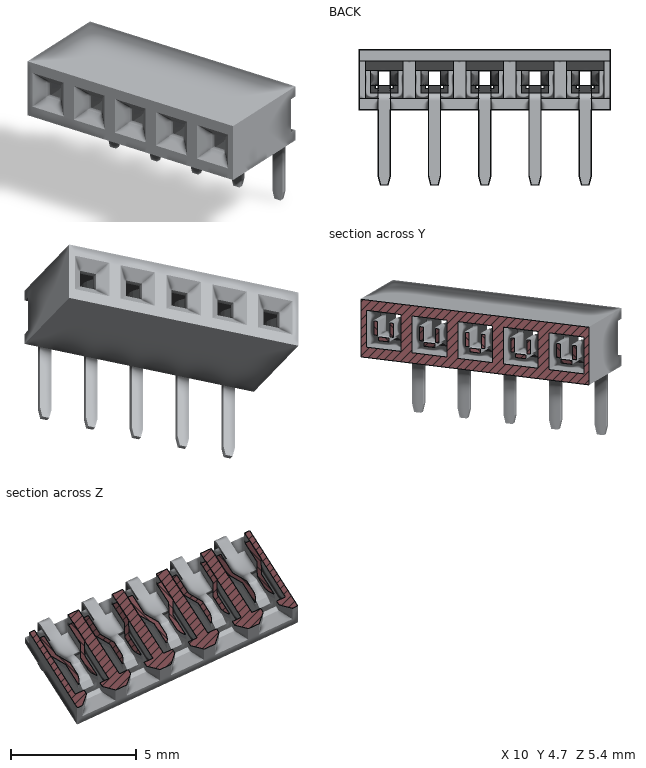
import cadquery as cq

ROW_LENGTH = 10.0
HOUSING_DEPTH = 4.32
HOUSING_HEIGHT = 2.4
MID_HEIGHT = HOUSING_HEIGHT / 2

CONTACT_COUNT = 5
PITCH = 2.0

CHANNEL_DEPTH = 0.3
LIP_HEIGHT = 0.45
CHANNEL_HEIGHT = HOUSING_HEIGHT - 2 * LIP_HEIGHT
CAVITY_END = HOUSING_DEPTH - CHANNEL_DEPTH

CAVITY_WIDTH = CHANNEL_HEIGHT
CAVITY_HALF = CAVITY_WIDTH / 2
MOUTH_WIDTH = 1.5
THROAT_WIDTH = 0.7
FUNNEL_DEPTH = (MOUTH_WIDTH - THROAT_WIDTH) / 2
THROAT_LENGTH = 0.22
CAVITY_START = FUNNEL_DEPTH + THROAT_LENGTH

SHEET = 0.21
TAIL_WIDTH = 0.49
BEND_RADIUS = 0.3
TAIL_BACK = 4.7
TAIL_BOTTOM = -3.0
TIP_WIDTH = 0.3
TIP_LENGTH = 0.37

SADDLE_START = 2.6
SADDLE_END = 3.6

ARM_TIP = 0.89
ARM_BEVEL = 1.14
ARM_APEX = 1.34
ARM_STRAIGHT_END = 2.0
BEVEL_GAP = 0.29
ARM_GAP = 0.23
SIDE_ARM_BOTTOM = MID_HEIGHT - ARM_GAP
SIDE_ARM_HEIGHT = 0.6


def make_socket(x):
    """Solid to remove from the housing for the socket centred on x."""
    funnel = (
        cq.Workplane("XZ", origin=(x, 0, MID_HEIGHT))
        .rect(MOUTH_WIDTH, MOUTH_WIDTH)
        .workplane(offset=-FUNNEL_DEPTH)
        .rect(THROAT_WIDTH, THROAT_WIDTH)
        .loft(ruled=True)
    )
    throat = (
        cq.Workplane("XZ", origin=(x, FUNNEL_DEPTH, MID_HEIGHT))
        .rect(THROAT_WIDTH, THROAT_WIDTH)
        .extrude(-THROAT_LENGTH)
    )
    cavity = (
        cq.Workplane("XZ", origin=(x, CAVITY_START, MID_HEIGHT))
        .rect(CAVITY_WIDTH, CAVITY_WIDTH)
        .extrude(CAVITY_START - CAVITY_END)
    )
    return funnel.union(throat).union(cavity)


def make_housing(contact_places):
    block = cq.Workplane("XY").box(ROW_LENGTH, HOUSING_DEPTH, HOUSING_HEIGHT, centered=(True, False, False))
    channel = (
        cq.Workplane("XY", origin=(0, CAVITY_END, LIP_HEIGHT))
        .box(ROW_LENGTH, CHANNEL_DEPTH, CHANNEL_HEIGHT, centered=(True, False, False))
    )
    housing = block.cut(channel)
    for x in contact_places:
        housing = housing.cut(make_socket(x))
    return housing


def arm_outline(workplane):
    """Arm profile on a workplane whose first axis is Y and whose second is the distance from the socket axis."""
    return workplane.polyline([
        (SADDLE_START, CAVITY_HALF),
        (ARM_STRAIGHT_END, ARM_GAP + SHEET),
        (ARM_TIP, ARM_GAP + SHEET),
        (ARM_BEVEL, BEVEL_GAP),
        (ARM_APEX, ARM_GAP),
        (ARM_STRAIGHT_END, ARM_GAP),
        (SADDLE_START, CAVITY_HALF - SHEET),
    ]).close()


def make_floor_arm():
    downward = cq.Plane(origin=(0, 0, MID_HEIGHT), xDir=(0, 1, 0), normal=(-1, 0, 0))
    return arm_outline(cq.Workplane(downward)).extrude(TAIL_WIDTH / 2, both=True)


def make_side_arm():
    """Arm on the +X side."""
    sideways = cq.Plane(origin=(0, 0, SIDE_ARM_BOTTOM), xDir=(0, 1, 0), normal=(0, 0, -1))
    return arm_outline(cq.Workplane(sideways)).extrude(-SIDE_ARM_HEIGHT)


def make_saddle():
    length = SADDLE_END - SADDLE_START
    height = SIDE_ARM_BOTTOM + SIDE_ARM_HEIGHT - LIP_HEIGHT
    block = (
        cq.Workplane("XY", origin=(0, SADDLE_START, LIP_HEIGHT))
        .box(CAVITY_WIDTH, length, height, centered=(True, False, False))
    )
    trough = (
        cq.Workplane("XY", origin=(0, SADDLE_START, LIP_HEIGHT + SHEET))
        .box(CAVITY_WIDTH - 2 * SHEET, length, height, centered=(True, False, False))
    )
    return block.cut(trough)


def make_tail():
    """Strip that leaves the saddle rearward, bends down and ends in a tapered tip."""
    strip = (
        cq.Workplane("YZ")
        .moveTo(SADDLE_END, LIP_HEIGHT)
        .lineTo(TAIL_BACK - BEND_RADIUS, LIP_HEIGHT)
        .radiusArc((TAIL_BACK - SHEET, LIP_HEIGHT + SHEET - BEND_RADIUS), BEND_RADIUS - SHEET)
        .lineTo(TAIL_BACK - SHEET, TAIL_BOTTOM)
        .lineTo(TAIL_BACK, TAIL_BOTTOM)
        .lineTo(TAIL_BACK, LIP_HEIGHT + SHEET - BEND_RADIUS)
        .radiusArc((TAIL_BACK - BEND_RADIUS, LIP_HEIGHT + SHEET), -BEND_RADIUS)
        .lineTo(SADDLE_END, LIP_HEIGHT + SHEET)
        .close()
        .extrude(TAIL_WIDTH / 2, both=True)
    )
    tip_top = TAIL_BOTTOM + TIP_LENGTH
    corner = (
        cq.Workplane("XZ", origin=(0, TAIL_BACK - SHEET, 0))
        .polyline([(TIP_WIDTH / 2, TAIL_BOTTOM), (TAIL_WIDTH / 2, TAIL_BOTTOM), (TAIL_WIDTH / 2, tip_top)])
        .close()
        .extrude(-SHEET)
    )
    return strip.cut(corner).cut(corner.mirror("YZ"))


def make_contact():
    side_arm = make_side_arm()
    return (
        make_saddle()
        .union(make_floor_arm())
        .union(side_arm)
        .union(side_arm.mirror("YZ"))
        .union(make_tail())
    )


contact_places = [(i - (CONTACT_COUNT - 1) / 2) * PITCH for i in range(CONTACT_COUNT)]
housing = make_housing(contact_places).solids()
contact = make_contact().solids()
contacts = [contact.translate((x, 0, 0)).val() for x in contact_places]

result = cq.Compound.makeCompound([housing.val(), *contacts])